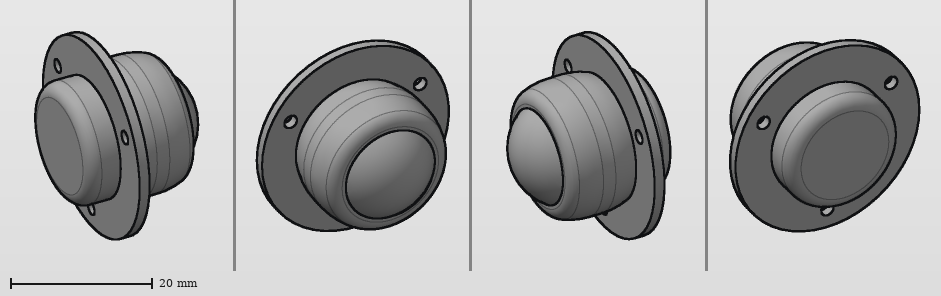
import cadquery as cq
import math


flange_diameter = 30.0
flange_thickness = 1.6
hole_diameter = 2.0
hole_circle_radius = 12.0
hole_angles = (30.0, 150.0, 270.0)

cup_radius = 9.15
cup_depth = 5.0
cup_fillet = 2.0

housing_radius = 10.25
band_start = 5.25
band_width = 2.0
band_end = band_start + band_width
housing_top = 12.1
lip_fillet = 2.0

ball_radius = 8.5
ball_top = 16.0
ball_center = ball_top - ball_radius


def build_flange():
    """Round plate with three evenly spaced mounting holes."""
    plate = cq.Workplane("XZ").circle(flange_diameter / 2).extrude(-flange_thickness)
    centers = []
    for angle in hole_angles:
        x = hole_circle_radius * math.cos(math.radians(angle))
        z = hole_circle_radius * math.sin(math.radians(angle))
        centers.append((x, z))
    holes = cq.Workplane("XZ").pushPoints(centers).circle(hole_diameter / 2).extrude(-flange_thickness)
    return plate.cut(holes)


def build_cup():
    """Plain cylinder behind the flange, rounded at its closed end."""
    cup = cq.Workplane("XZ").circle(cup_radius).extrude(cup_depth)
    return cup.faces("<Y").edges().fillet(cup_fillet)


def point_on_arc(center_y, radius, angle):
    """Point of the (radius, Y) half plane on an arc centered on the axis."""
    return (radius * math.cos(angle), center_y + radius * math.sin(angle))


def build_housing():
    """Barrel-shaped housing, with a lip fillet tangent to its upper spherical zone."""
    foot_angle = -math.asin(band_start / housing_radius)
    foot = point_on_arc(band_start, housing_radius, foot_angle)
    lower_middle = point_on_arc(band_start, housing_radius, foot_angle / 2)

    fillet_center_y = housing_top - lip_fillet
    center_distance = housing_radius - lip_fillet
    tangent_angle = math.asin((fillet_center_y - band_end) / center_distance)
    fillet_center_r = center_distance * math.cos(tangent_angle)
    upper_middle = point_on_arc(band_end, housing_radius, tangent_angle / 2)
    tangent_point = point_on_arc(band_end, housing_radius, tangent_angle)
    fillet_middle_angle = (tangent_angle + math.pi / 2) / 2
    fillet_middle = (
        fillet_center_r + lip_fillet * math.cos(fillet_middle_angle),
        fillet_center_y + lip_fillet * math.sin(fillet_middle_angle),
    )

    profile = (
        cq.Workplane("XY")
        .lineTo(*foot)
        .threePointArc(lower_middle, (housing_radius, band_start))
        .lineTo(housing_radius, band_end)
        .threePointArc(upper_middle, tangent_point)
        .threePointArc(fillet_middle, (fillet_center_r, housing_top))
        .lineTo(0, housing_top)
        .close()
    )
    return profile.revolve(360, (0, 0), (0, 1))


def build_ball():
    """Ball seated in the housing and showing above its lip."""
    return cq.Workplane("XY").sphere(ball_radius).translate((0, ball_center, 0))


result = build_flange().union(build_cup()).union(build_housing()).union(build_ball())